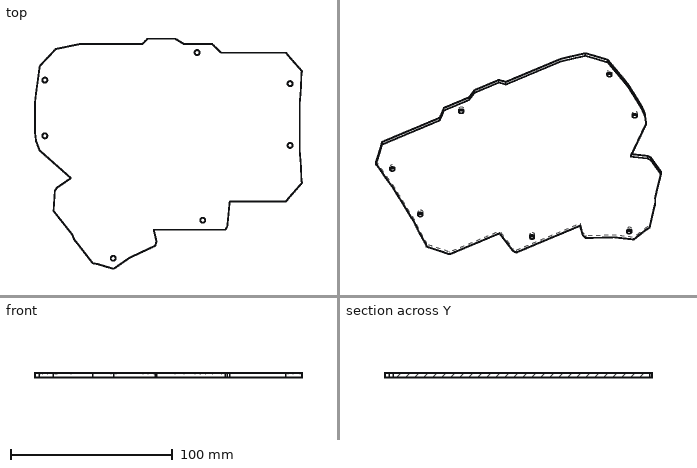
import cadquery as cq

LENGTH = 165.07
WIDTH = 142.27
THICKNESS = 3.0
HOLE_DIAMETER = 3.0

TAB_BOTTOM_Y = 24.15
UPPER_EDGE_Y = 139.0
SHOULDER_Y = 133.6

RIGHT_END_MID_Y = 87.6

RIGHT_END_HALF = [
    (163.6, 14.6),
    (164.3, 22.8),
    (164.7, 33.5),
    (LENGTH, 34.4),
    (157.4, 43.1),
    (155.0, SHOULDER_Y - RIGHT_END_MID_Y),
]

THUMB_LOBE_LEFT = [
    (48.6, 0.0),
    (39.0, 2.9),
    (35.7, 3.5),
    (26.6, 15.3),
    (24.4, 18.0),
    (23.0, 21.3),
    (11.5, 35.8),
    (12.3, 48.1),
    (13.5, 50.1),
    (22.2, 56.1),
]

LEFT_END = [
    (2.9, 73.2),
    (0.7, 79.0),
    (0.0, 84.5),
    (0.0, 102.2),
    (0.6, 107.8),
    (3.0, 125.3),
    (13.0, 135.9),
    (28.4, UPPER_EDGE_Y),
]

UPPER_STEP = [
    (66.5, UPPER_EDGE_Y),
    (69.7, WIDTH),
    (86.5, WIDTH),
    (92.0, UPPER_EDGE_Y),
    (109.4, UPPER_EDGE_Y),
    (115.0, SHOULDER_Y),
]

LOWER_TAB = [
    (120.4, 2 * RIGHT_END_MID_Y - SHOULDER_Y),
    (118.9, 26.2),
    (117.7, TAB_BOTTOM_Y),
    (73.5, TAB_BOTTOM_Y),
]

THUMB_LOBE_RIGHT = [
    (75.2, 17.0),
    (74.4, 14.3),
    (58.6, 6.9),
]

LEFT_HOLE_X = 6.2
RIGHT_HOLE_X = 157.6
HOLE_CENTRES = [
    (LEFT_HOLE_X, 116.6),
    (LEFT_HOLE_X, 82.2),
    (100.2, SHOULDER_Y),
    (RIGHT_HOLE_X, 114.4),
    (RIGHT_HOLE_X, 76.3),
    (103.7, 30.1),
    (48.4, 6.6),
]


def right_end():
    """Corner points of the right end, clockwise from the upper shoulder to the lower one."""
    upper = [(x, RIGHT_END_MID_Y + height) for x, height in reversed(RIGHT_END_HALF)]
    lower = [(x, RIGHT_END_MID_Y - height) for x, height in RIGHT_END_HALF]
    return upper + lower


def plate():
    """Flat plate with the full outline, running clockwise."""
    outline = THUMB_LOBE_LEFT + LEFT_END + UPPER_STEP + right_end() + LOWER_TAB + THUMB_LOBE_RIGHT
    return cq.Workplane("XY").polyline(outline).close().extrude(THICKNESS)


def screw_holes():
    """Cylinders that cut the screw holes through the plate."""
    return cq.Workplane("XY").pushPoints(HOLE_CENTRES).circle(HOLE_DIAMETER / 2).extrude(THICKNESS)


result = plate().cut(screw_holes())